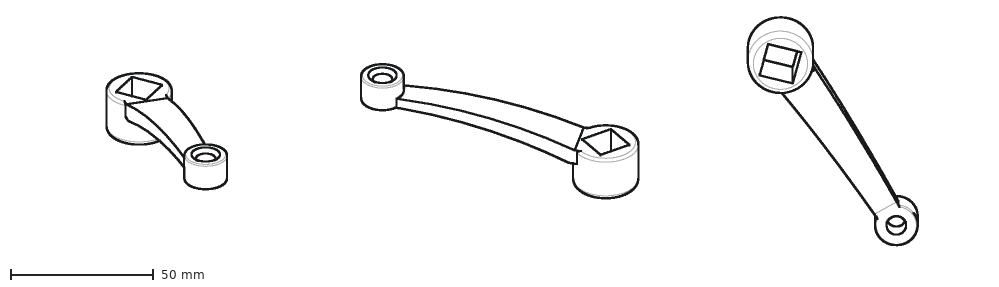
import cadquery as cq

length = 99.0
height = 34.0

hub_diameter = 23.0
hub_height = 17.0
hub_top_fillet = 1.0
hub_bottom_fillet = 2.0
socket_side = 12.0

eye_diameter = 15.0
eye_height = 10.0
eye_fillet = 0.5
eye_hole_diameter = 6.8
countersink_diameter = 10.0

arm_top_start_x = 9.5
arm_bottom_start_x = 11.6
arm_start_thickness = 5.6
arm_end_thickness = 3.9
arm_top_radius = 178.2
arm_bottom_radius = 183.15
arm_start_width = 15.0
arm_end_width = 9.1

hub_radius = hub_diameter / 2
eye_radius = eye_diameter / 2
eye_x = length - hub_radius - eye_radius
eye_bottom_z = height - eye_height
arm_end_x = eye_x - eye_radius


def make_hub():
    hub = cq.Workplane("XY").circle(hub_radius).extrude(hub_height)
    return hub.faces("<Z").edges().fillet(hub_bottom_fillet)


def make_eye():
    eye = cq.Workplane("XY", origin=(eye_x, 0, eye_bottom_z)).circle(eye_radius).extrude(eye_height)
    return eye.edges("%CIRCLE").fillet(eye_fillet)


def make_arm():
    """Intersect the arched side profile with the tapered plan outline."""
    bottom_z = hub_height - arm_start_thickness
    end_top_z = eye_bottom_z + arm_end_thickness
    profile = (
        cq.Workplane("XZ")
        .moveTo(0, bottom_z)
        .lineTo(arm_bottom_start_x, bottom_z)
        .radiusArc((arm_end_x, eye_bottom_z), arm_bottom_radius)
        .lineTo(eye_x, eye_bottom_z)
        .lineTo(eye_x, end_top_z)
        .lineTo(arm_end_x, end_top_z)
        .radiusArc((arm_top_start_x, hub_height), -arm_top_radius)
        .lineTo(0, hub_height)
        .close()
        .extrude(hub_radius, both=True)
    )
    taper = (arm_start_width - arm_end_width) / (arm_end_x - arm_top_start_x)
    hub_half_width = (arm_start_width + taper * arm_top_start_x) / 2
    eye_half_width = (arm_end_width - taper * eye_radius) / 2
    plan = (
        cq.Workplane("XY")
        .polyline([
            (0, -hub_half_width),
            (eye_x, -eye_half_width),
            (eye_x, eye_half_width),
            (0, hub_half_width),
        ])
        .close()
        .extrude(height)
    )
    return profile.intersect(plan)


def make_socket():
    return cq.Workplane("XY").rect(socket_side, socket_side).extrude(hub_height).rotate((0, 0, 0), (0, 0, 1), 45)


def make_eye_hole():
    """Through hole with a 45 degree countersink at the top."""
    hole_radius = eye_hole_diameter / 2
    sink_radius = countersink_diameter / 2
    sink_depth = sink_radius - hole_radius
    return (
        cq.Workplane("XZ", origin=(eye_x, 0, 0))
        .moveTo(0, eye_bottom_z)
        .lineTo(hole_radius, eye_bottom_z)
        .lineTo(hole_radius, height - sink_depth)
        .lineTo(sink_radius, height)
        .lineTo(0, height)
        .close()
        .revolve(360, (0, 0), (0, 1))
    )


body = make_hub().union(make_arm())
hub_rim = body.faces(cq.selectors.NearestToPointSelector((0, 0, hub_height))).edges("%CIRCLE")
body = hub_rim.fillet(hub_top_fillet)

result = body.union(make_eye()).cut(make_socket()).cut(make_eye_hole())